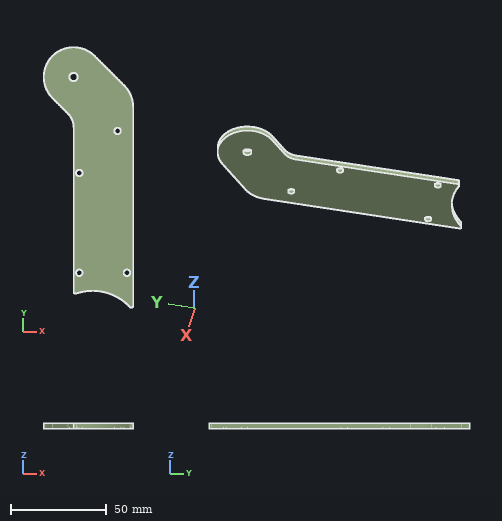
import cadquery as cq
import math

total_length = 135.9
total_width = 46.8
thickness = 3.1
head_radius = total_width / 3
arm_width = 2 * head_radius
bottom_y = head_radius - total_length

bend_angle = math.radians(45)
outer_bend_radius = 15.6
inner_bend_radius = 10.0

end_arc_radius = 26.6
end_arc_x = 9.9
tip_radius = 1.0

pivot_diameter = 4.2
screw_diameter = 3.3
left_screw_x = 3.0
right_screw_x = 27.9
lower_screw_y = -102.1
screw_points = [
    (left_screw_x, lower_screw_y),
    (right_screw_x, lower_screw_y),
    (left_screw_x, -50.0),
    (23.0, -28.1),
]

tip_rise = math.sqrt(
    (end_arc_radius + tip_radius) ** 2 - (arm_width - tip_radius - end_arc_x) ** 2
)
end_arc_y = bottom_y + tip_radius - tip_rise


def end_arc_point(x):
    """Point on the concave end arc at a given x."""
    return (x, end_arc_y + math.sqrt(end_arc_radius**2 - (x - end_arc_x) ** 2))


def make_plate():
    """Round head, slanted neck and straight arm, with every corner rounded."""
    tangent_x = head_radius * math.sin(bend_angle)
    tangent_y = head_radius * math.cos(bend_angle)
    inner_corner_y = -head_radius / math.sin(bend_angle)
    outer_corner_y = inner_corner_y + arm_width * math.tan(bend_angle / 2)
    plate = (
        cq.Workplane("XY")
        .moveTo(tangent_x, tangent_y)
        .lineTo(arm_width, outer_corner_y)
        .lineTo(*end_arc_point(arm_width))
        .threePointArc(end_arc_point(end_arc_x), end_arc_point(0))
        .lineTo(0, inner_corner_y)
        .lineTo(-tangent_x, -tangent_y)
        .threePointArc((-tangent_x, tangent_y), (tangent_x, tangent_y))
        .close()
        .extrude(thickness)
    )
    corner_radii = [
        ((arm_width, outer_corner_y), outer_bend_radius),
        ((0, inner_corner_y), inner_bend_radius),
        (end_arc_point(arm_width), tip_radius),
        (end_arc_point(0), tip_radius),
    ]
    for (x, y), radius in corner_radii:
        corner = cq.selectors.NearestToPointSelector((x, y, thickness / 2))
        plate = plate.edges("|Z").edges(corner).fillet(radius)
    return plate


def make_holes(points, diameter):
    """Cylinders that cut right through the plate."""
    return cq.Workplane("XY").pushPoints(points).circle(diameter / 2).extrude(thickness)


result = (
    make_plate()
    .cut(make_holes([(0, 0)], pivot_diameter))
    .cut(make_holes(screw_points, screw_diameter))
)